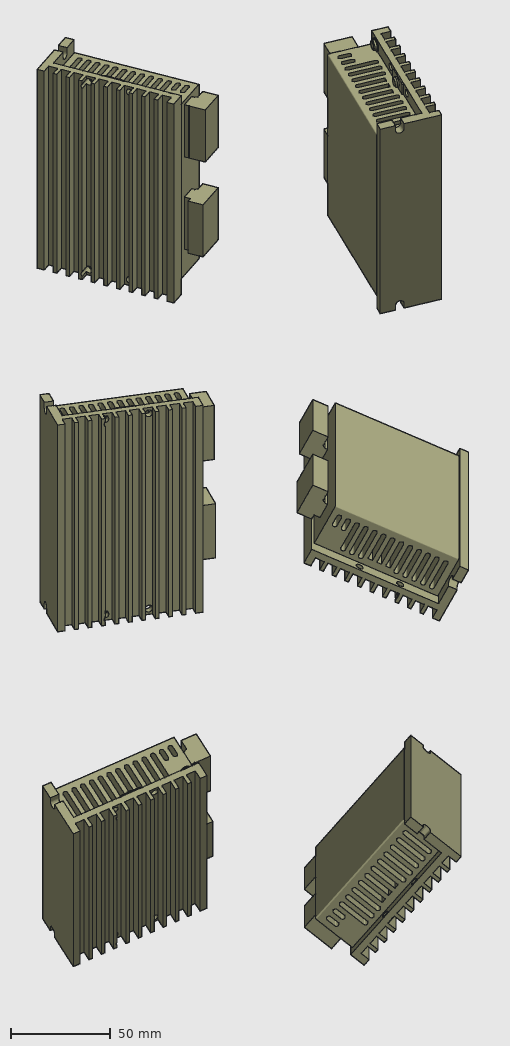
import cadquery as cq

length = 118.4
sink_width = 75.9
total_depth = 33.0
plate_face = 8.9
flange_thickness = 4.9
groove_count = 10
groove_width = 5.0
groove_depth = 5.2
edge_fin = 3.9
groove_pitch = (sink_width - 2 * edge_fin - groove_width) / (groove_count - 1)

notch_y = 22.5
notch_width = 4.5
notch_depth = 5.3
hole_diameter = 3.8
hole_spacing = 22.7
hole_inset = 3.3
mount_x = 37.6

cover_gap = 0.5
cover_start = flange_thickness + cover_gap
cover_end = 74.5
cover_inset = 7.2
overlap = 1.0
end_bend = 0.8
cover_top = length - cover_inset

slot_width = 2.5
slot_pitch = 5.0
first_slot = 10.3
slot_count = 13
slot_high = 29.1
slot_low = 11.2
square_slot_low = 12.9
short_slot_low = 21.9
square_slots = (5, 6, 7)
short_slots = (11, 12)

tab_width = 13.8
tab_thickness = 0.7
tab_setback = 0.1
tab_end = length - tab_setback
tab_radius = 2.4
screw_z = 114.2
tab_head_diameter = 5.7
tab_head_height = 1.8
tab_head_chamfer = 1.0
ground_screw_x = 69.4
washer_diameter = 7.2
washer_thickness = 0.5
ground_head_diameter = 5.5
ground_head_height = 1.7
ground_head_chamfer = 0.5

connector_end = 86.0
connector_high = 30.7
connector_low = 15.4
body_start = 77.4
neck_high = 24.0
neck_ramp_start = 75.9
neck_ramp_high = 25.0
connector_length = 31.0
upper_connector_z = 77.8
lower_connector_z = 22.8
lip_start = 77.8
lip_low = 12.8
relief_start = 76.8
relief_width = 0.4
relief_depth = 0.5


def box(x0, x1, y0, y1, z0, z1):
    """Box between two opposite corners."""
    return cq.Workplane("XY").box(x1 - x0, y1 - y0, z1 - z0, centered=False).translate((x0, y0, z0))


def disc(x, y, z, diameter, height):
    """Cylinder that rises along +Y from height y."""
    axis = cq.Vector(0, 1, 0)
    return cq.Workplane(cq.Solid.makeCylinder(diameter / 2, height, cq.Vector(x, y, z), axis))


def heat_sink():
    body = box(0, sink_width, 0, plate_face, 0, length)
    body = body.union(box(0, flange_thickness, 0, total_depth, 0, length))
    for i in range(groove_count):
        x = edge_fin + i * groove_pitch
        body = body.cut(box(x, x + groove_width, 0, groove_depth, 0, length))
    for z in (hole_inset, length - hole_inset):
        for x in (mount_x - hole_spacing / 2, mount_x + hole_spacing / 2):
            body = body.cut(disc(x, 0, z, hole_diameter, plate_face))
    for z in (0, length):
        notch = (
            cq.Workplane("YZ")
            .center(notch_y, z)
            .slot2D(2 * notch_depth, notch_width, 90)
            .extrude(flange_thickness)
        )
        body = body.cut(notch)
    return body


def vent(index):
    """One slot, running the full length of the cover."""
    x = first_slot + index * slot_pitch
    low = short_slot_low if index in short_slots else slot_low
    slot = (
        cq.Workplane("XY")
        .center(x, (low + slot_high) / 2)
        .slot2D(slot_high - low, slot_width, 90)
        .extrude(length)
    )
    if index in square_slots:
        slot = slot.intersect(
            box(x - slot_width, x + slot_width, square_slot_low, total_depth, 0, length)
        )
    return slot


def cover():
    """Block on the plate with vents through its whole length and a screw tab."""
    body = (
        box(cover_start, cover_end, plate_face, total_depth, cover_inset, cover_top)
        .edges("|X and >Y")
        .fillet(end_bend)
    )
    for i in range(slot_count):
        body = body.cut(vent(i))
    tab = (
        box(mount_x - tab_width / 2, mount_x + tab_width / 2,
            plate_face, plate_face + tab_thickness, cover_top - overlap, tab_end)
        .edges("|Y and >Z")
        .fillet(tab_radius)
    )
    return body.union(tab)


def screw_head(x, y, diameter, height, chamfer):
    return disc(x, y, screw_z, diameter, height).faces(">Y").chamfer(chamfer)


def screws():
    tab_screw = screw_head(
        mount_x, plate_face + tab_thickness, tab_head_diameter, tab_head_height, tab_head_chamfer
    )
    washer = disc(ground_screw_x, plate_face, screw_z, washer_diameter, washer_thickness)
    ground_screw = screw_head(
        ground_screw_x, plate_face + washer_thickness,
        ground_head_diameter, ground_head_height, ground_head_chamfer,
    )
    return tab_screw.union(washer).union(ground_screw)


def connector(z):
    """Connector body with a narrower neck that reaches into the cover."""
    neck_start = cover_end - overlap
    return (
        cq.Workplane("XY", origin=(0, 0, z))
        .moveTo(neck_start, connector_low)
        .lineTo(connector_end, connector_low)
        .lineTo(connector_end, connector_high)
        .lineTo(body_start, connector_high)
        .lineTo(body_start, neck_ramp_high)
        .lineTo(neck_ramp_start, neck_high)
        .lineTo(neck_start, neck_high)
        .close()
        .extrude(connector_length)
    )


def upper_connector():
    relief = box(
        relief_start, relief_start + relief_width, connector_low, connector_low + relief_depth,
        upper_connector_z, upper_connector_z + connector_length,
    )
    return connector(upper_connector_z).cut(relief)


def lower_connector():
    lip = box(
        lip_start, connector_end, lip_low, connector_low,
        lower_connector_z, lower_connector_z + connector_length,
    )
    return connector(lower_connector_z).union(lip)


result = (
    heat_sink()
    .union(cover())
    .union(screws())
    .union(upper_connector())
    .union(lower_connector())
)